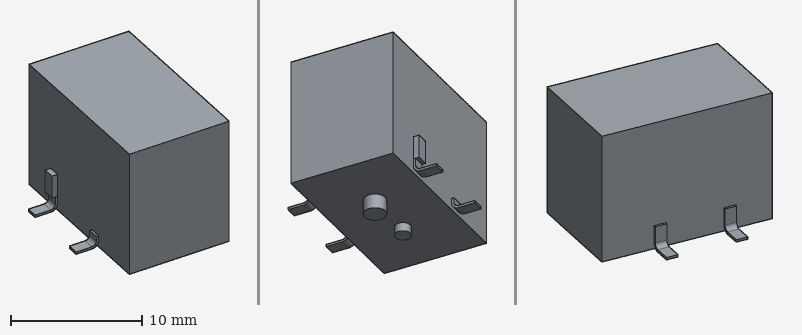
import cadquery as cq

HOUSING_LENGTH = 14.7
HOUSING_WIDTH = 8.9
HOUSING_HEIGHT = 10.91

LARGE_PEG_DIAMETER = 1.8
LARGE_PEG_LENGTH = 1.25
LARGE_PEG_X = -2.15
SMALL_PEG_DIAMETER = 1.31
SMALL_PEG_LENGTH = 0.75
SMALL_PEG_X = 2.23

LEAD_SPAN = 12.9
LEAD_WIDTH = 1.0
LEAD_THICKNESS = 0.2
BEND_OUTER_RADIUS = 0.6
BEND_INNER_RADIUS = BEND_OUTER_RADIUS - LEAD_THICKNESS
LEAD_REACH = (LEAD_SPAN - HOUSING_WIDTH) / 2
LEAD_PITCH = 6.01
LEFT_LEAD_X = -3.66
RIGHT_LEAD_X = LEFT_LEAD_X + LEAD_PITCH
BACK_LEAD_HEIGHT = 2.01
SHORT_LEAD_HEIGHT = 1.0

BLOCK_BOTTOM = 1.23
BLOCK_HEIGHT = 2.0
BLOCK_DEPTH = 0.5

LEADS = [
    (LEFT_LEAD_X, -1, BLOCK_BOTTOM),
    (RIGHT_LEAD_X, -1, SHORT_LEAD_HEIGHT),
    (LEFT_LEAD_X, 1, BACK_LEAD_HEIGHT),
    (RIGHT_LEAD_X, 1, BACK_LEAD_HEIGHT),
]


def make_peg(x, diameter, length):
    """Round peg hanging down from the housing underside."""
    return cq.Workplane("XY").center(x, 0).circle(diameter / 2).extrude(-length)


def make_housing():
    """Rectangular case with its two moulded locating pegs."""
    case = cq.Workplane("XY").box(
        HOUSING_LENGTH, HOUSING_WIDTH, HOUSING_HEIGHT, centered=(True, True, False)
    )
    large_peg = make_peg(LARGE_PEG_X, LARGE_PEG_DIAMETER, LARGE_PEG_LENGTH)
    small_peg = make_peg(SMALL_PEG_X, SMALL_PEG_DIAMETER, SMALL_PEG_LENGTH)
    return case.union(large_peg).union(small_peg)


def make_lead(x, side, height):
    """Strip that runs down the housing wall and bends outward into a flat foot."""
    wall_y = HOUSING_WIDTH / 2
    tip_y = wall_y + LEAD_REACH
    bend_y = wall_y + BEND_OUTER_RADIUS
    bend_z = BEND_OUTER_RADIUS
    lead = (
        cq.Workplane("YZ")
        .moveTo(side * wall_y, height)
        .lineTo(side * wall_y, bend_z)
        .radiusArc((side * bend_y, 0), -side * BEND_OUTER_RADIUS)
        .lineTo(side * tip_y, 0)
        .lineTo(side * tip_y, LEAD_THICKNESS)
        .lineTo(side * bend_y, LEAD_THICKNESS)
        .radiusArc((side * (wall_y + LEAD_THICKNESS), bend_z), side * BEND_INNER_RADIUS)
        .lineTo(side * (wall_y + LEAD_THICKNESS), height)
        .close()
        .extrude(LEAD_WIDTH / 2, both=True)
    )
    return lead.translate((x, 0, 0))


def make_block():
    """Block as wide as a lead, resting on the top end of the front left lead."""
    block = cq.Workplane("XY").box(
        LEAD_WIDTH, BLOCK_DEPTH, BLOCK_HEIGHT, centered=(True, True, False)
    )
    return block.translate((LEFT_LEAD_X, -(HOUSING_WIDTH + BLOCK_DEPTH) / 2, BLOCK_BOTTOM))


housing = make_housing()
leads = [make_lead(x, side, height) for x, side, height in LEADS]
block = make_block()

result = cq.Compound.makeCompound([
    housing.val(),
    *[lead.val() for lead in leads],
    block.val(),
])